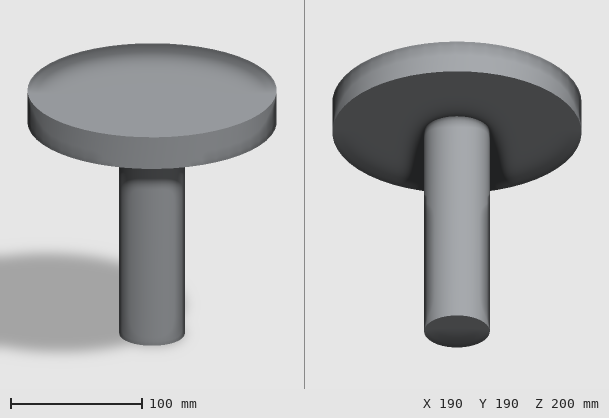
import cadquery as cq

total_height = 200.0
disc_diameter = 190.0
disc_thickness = 26.0
shaft_diameter = 50.0

shaft_length = total_height - disc_thickness


def make_shaft():
    """Plain round shaft standing on the XY plane."""
    return cq.Workplane("XY").circle(shaft_diameter / 2).extrude(shaft_length)


def make_disc():
    """Flat round disc resting on the top end of the shaft."""
    return (
        cq.Workplane("XY")
        .workplane(offset=shaft_length)
        .circle(disc_diameter / 2)
        .extrude(disc_thickness)
    )


shaft = make_shaft()
disc = make_disc()

result = cq.Compound.makeCompound([shaft.val(), disc.val()])